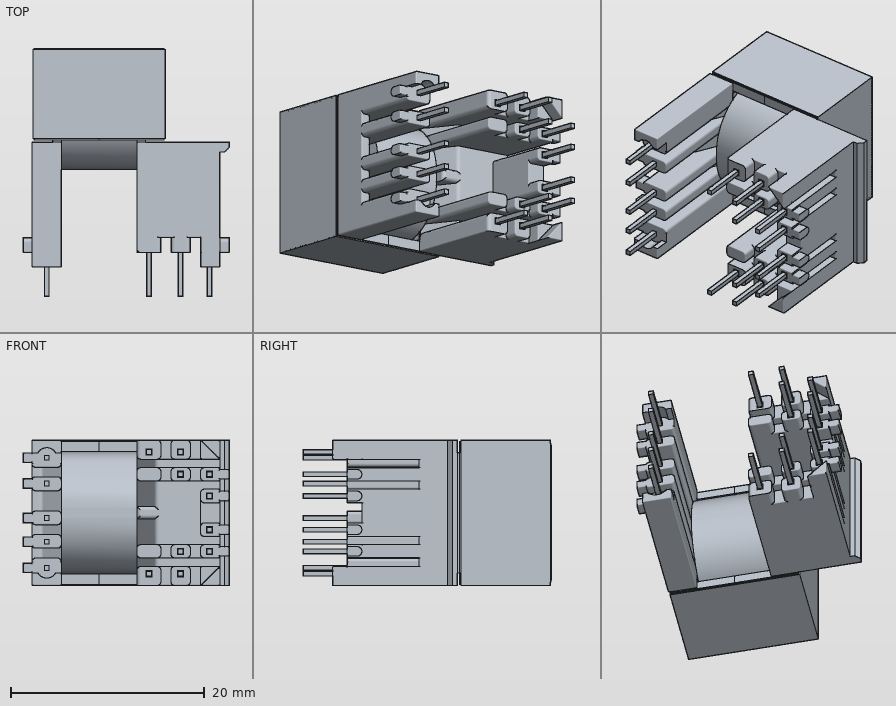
import cadquery as cq
import math


HEIGHT = 15.02
HALF_HEIGHT = HEIGHT / 2
FULL_Z = (-HALF_HEIGHT, HALF_HEIGHT)
TAPE_HALF_WIDTH = 6.85
TAPE = 0.13
CORE_BACK = 6.75
CORE_FRONT = -2.72
TAPE_BACK = 6.65
TAPE_FRONT = -2.57
CORE_HALF_WIDTH = TAPE_HALF_WIDTH - TAPE
CORE_HALF_HEIGHT = HALF_HEIGHT - TAPE
CORE_BACK_ROUND = 0.45

FLAT = 1.05
WINDING_RADIUS = 5.77
CAVITY_RADIUS = 5.8
FLANGE_RADIUS = 5.7
TUBE_RADIUS = 3.0
LEG_RADIUS = 2.2
WINDING_HALF_LENGTH = 3.9
FLANGE_HALF_LENGTH = 4.8
CAVITY_HALF_LENGTH = 4.85

BLOCK_BACK = -2.93
SLOT_FLOOR = -6.92
NOTCH_FLOOR = -12.8
SEAT = -14.33
FOOT = -15.83
PIN_TIP = -18.85
LEFT_OUTER = -6.95
RIGHT_OUTER = 12.47
PEG_LEFT_TIP = -7.85
PEG_RIGHT_TIP = 13.45
BLOCK_INNER = WINDING_HALF_LENGTH
EDGE_ROUND = 0.15
END_ROUND = 0.1
RIB_ROUND = 0.4

RAMP_RUN = 2.0
RAMP_RISE = 3.8
RAMP_ROUND = 0.48

LIP_DEPTH = 1.02
LIP_CHAMFER = 0.5

PIN = 0.5
RECESS = 0.65
RECESS_DEPTH = 0.1
PEG = 1.0
LEFT_PIN_X = -5.4

LEFT_RIBS = [
    (4.69, 6.2, 5.68),
    (2.27, 3.72, 3.02),
    (-1.23, 0.19, -0.54),
    (-3.65, -2.23, -2.98),
    (-6.2, -4.67, -5.68),
]
LEFT_FOOT_Z = 6.2
CLEARANCE_RADIUS = 1.05

OUTER_PLATE = (5.53, HALF_HEIGHT)
INNER_PLATE = (3.28, 4.66)
MIDDLE_SEAT = (1.03, 2.45)
OUTER_PIN_Z = 6.28
INNER_PIN_Z = 3.98
MIDDLE_PIN_Z = 1.74
WEB_HALF = 0.66
SEAT_A = (BLOCK_INNER, 6.38)
SEAT_B = (7.42, 9.42)
SEAT_C = (10.47, RIGHT_OUTER)
PIN_A_X = 5.15
PIN_B_X = 8.4
PIN_C_X = 11.4


def box(x, y, z):
    """Box between two limits along each axis."""
    size = [max(limits) - min(limits) for limits in (x, y, z)]
    corner = [min(limits) for limits in (x, y, z)]
    return cq.Workplane("XY").box(*size, centered=False).translate(tuple(corner))


def stadium(radius, x0, x1):
    """Rounded section along X: half circles of the given radius and a flat between them."""
    profile = cq.Workplane("YZ", origin=(x0, 0, 0)).slot2D(2 * radius + FLAT, 2 * radius, 90)
    return profile.extrude(x1 - x0)


def window(radius, x0, x1, front):
    """Stadium section with straight sides carried forward to the given Y."""
    half = radius + FLAT / 2
    return stadium(radius, x0, x1).union(box((x0, x1), (front, 0), (-half, half)))


def join(first, others):
    """Fuse several overlapping pieces of the same body in one step."""
    fused = first.val().fuse(*[piece.val() for piece in others])
    return cq.Workplane(fused.clean())


def mirror_z(shape):
    return shape.mirror("XY")


def core_block(x0):
    """Core outline from the given X to its +X side, before any shaping."""
    return box((x0, CORE_HALF_WIDTH), (CORE_FRONT, CORE_BACK), (-CORE_HALF_HEIGHT, CORE_HALF_HEIGHT))


def make_core_half(side):
    half = core_block(0).edges(">Y and |X").fillet(CORE_BACK_ROUND)
    half = half.cut(window(CAVITY_RADIUS, 0, CAVITY_HALF_LENGTH, CORE_FRONT))
    half = half.union(stadium(LEG_RADIUS, 0, CAVITY_HALF_LENGTH))
    return half if side > 0 else half.mirror("YZ")


def make_tape():
    sleeve = box((-TAPE_HALF_WIDTH, TAPE_HALF_WIDTH), (TAPE_FRONT, TAPE_BACK), FULL_Z)
    return sleeve.cut(core_block(-CORE_HALF_WIDTH))


def make_winding():
    coil = stadium(WINDING_RADIUS, -WINDING_HALF_LENGTH, WINDING_HALF_LENGTH)
    return coil.cut(stadium(TUBE_RADIUS, -WINDING_HALF_LENGTH, WINDING_HALF_LENGTH))


def spool():
    """Tube with a flange at each end that reaches forward to the blocks."""
    body = stadium(TUBE_RADIUS, -FLANGE_HALF_LENGTH, FLANGE_HALF_LENGTH)
    for x0, x1 in [(-FLANGE_HALF_LENGTH, -WINDING_HALF_LENGTH), (WINDING_HALF_LENGTH, FLANGE_HALF_LENGTH)]:
        flange = window(FLANGE_RADIUS, x0, x1, BLOCK_BACK)
        behind_blocks = box((x0, x1), (BLOCK_BACK, CORE_BACK), FULL_Z)
        body = body.union(flange.intersect(behind_blocks))
    return body.cut(stadium(LEG_RADIUS, -FLANGE_HALF_LENGTH, FLANGE_HALF_LENGTH))


def block_base(outer):
    """Solid root of a block from the core face to the slot floor, ramped at the winding side."""
    side = math.copysign(1, outer)
    inner = side * BLOCK_INNER
    profile = (
        cq.Workplane("XY", origin=(0, 0, -HALF_HEIGHT))
        .moveTo(inner, BLOCK_BACK)
        .lineTo(outer, BLOCK_BACK)
        .lineTo(outer, SLOT_FLOOR)
        .lineTo(inner + side * RAMP_RUN, SLOT_FLOOR)
        .lineTo(inner, SLOT_FLOOR + RAMP_RISE)
        .close()
    )
    base = profile.extrude(HEIGHT)
    ramp_edge = cq.selectors.NearestToPointSelector((inner + side * RAMP_RUN, SLOT_FLOOR, 0))
    outer_edge = cq.selectors.NearestToPointSelector((outer, SLOT_FLOOR, 0))
    return base.edges(ramp_edge).fillet(RAMP_ROUND).edges(outer_edge).fillet(END_ROUND)


def rounded_end(shape):
    """Break the edges around the end face on the pin side."""
    return shape.faces("<Y").edges().fillet(END_ROUND)


def bar(x, y, z, rounded="|Y"):
    """Bar along Y with its selected edges and its pin-side end rounded."""
    return rounded_end(box(x, y, z).edges(rounded).fillet(RIB_ROUND))


def peg(x, z):
    """Wire peg on a block's side: round towards the core, square at the seat."""
    radius = PEG / 2
    profile = (
        cq.Workplane("YZ", origin=(min(x), 0, 0))
        .moveTo(SEAT, z - radius)
        .lineTo(NOTCH_FLOOR - radius, z - radius)
        .threePointArc((NOTCH_FLOOR, z), (NOTCH_FLOOR - radius, z + radius))
        .lineTo(SEAT, z + radius)
        .close()
    )
    return rounded_end(profile.extrude(max(x) - min(x)))


def square_along_y(width, x, y, z):
    half = width / 2
    return box((x - half, x + half), y, (z - half, z + half))


def pin(x, z):
    return square_along_y(PIN, x, (PIN_TIP, SEAT + RECESS_DEPTH), z)


def left_block():
    """Comb of five ribs between two feet, with a peg and a pin on every rib."""
    across = (LEFT_OUTER, -BLOCK_INNER)
    block = block_base(LEFT_OUTER)
    ribs = [bar(across, (SEAT, BLOCK_BACK), (low, high)) for low, high, _ in LEFT_RIBS]
    block = join(block, ribs)
    end_low, _, end_pin_z = LEFT_RIBS[0]
    for side in (1, -1):
        foot = box(across, (FOOT, BLOCK_BACK), (side * LEFT_FOOT_Z, side * HALF_HEIGHT))
        joint_z = (side * (end_low + RIB_ROUND), side * LEFT_FOOT_Z)
        block = block.union(foot).union(box(across, (SEAT, BLOCK_BACK), joint_z))
        relief = cq.Workplane("XZ", origin=(LEFT_PIN_X, SEAT, side * end_pin_z)).circle(CLEARANCE_RADIUS)
        block = block.cut(relief.extrude(SEAT - FOOT))
    envelope = box(across, (FOOT, BLOCK_BACK), FULL_Z)
    block = block.intersect(envelope.edges("<X").fillet(EDGE_ROUND).edges("not(<X)").fillet(END_ROUND))
    pin_heights = [pin_z for _, _, pin_z in LEFT_RIBS]
    pegs = [peg((PEG_LEFT_TIP, LEFT_PIN_X), z) for z in pin_heights]
    pins = [pin(LEFT_PIN_X, z) for z in pin_heights]
    return join(block, pegs + pins)


def right_plates():
    """Upper half of the plates and seats that stand on the right block's base."""
    across = (BLOCK_INNER, RIGHT_OUTER)
    plate_y = (NOTCH_FLOOR, BLOCK_BACK)
    seat_y = (SEAT, BLOCK_BACK)

    plates = bar(across, plate_y, OUTER_PLATE, "|Y and <X and <Z")
    seat_a = box(SEAT_A, seat_y, OUTER_PLATE)
    seat_a = seat_a.edges("(|Y and (>X or <Z)) or (|Z and <X and <Y)").fillet(RIB_ROUND)
    plates = plates.union(seat_a)
    plates = plates.union(bar(SEAT_B, seat_y, OUTER_PLATE))
    plates = plates.union(rounded_end(box(SEAT_C, seat_y, OUTER_PLATE)))
    corner_foot = (
        cq.Workplane("XZ", origin=(0, NOTCH_FLOOR, 0))
        .moveTo(SEAT_C[0], OUTER_PLATE[1])
        .lineTo(SEAT_C[1], OUTER_PLATE[1])
        .lineTo(SEAT_C[1], OUTER_PLATE[0])
        .close()
        .extrude(NOTCH_FLOOR - FOOT)
    )
    plates = plates.union(rounded_end(corner_foot))

    plates = plates.union(bar(across, plate_y, INNER_PLATE, "|Y and <X"))
    plates = plates.union(bar(SEAT_A, seat_y, INNER_PLATE))
    plates = plates.union(bar(SEAT_B, seat_y, INNER_PLATE))
    plates = plates.union(bar(SEAT_C, seat_y, INNER_PLATE, "|Y and <X"))

    plates = plates.union(bar(SEAT_C, seat_y, MIDDLE_SEAT, "|Y and <X"))
    return plates


def lip():
    """Chamfered edge strip on the +X side of the right block."""
    strip = box((RIGHT_OUTER, PEG_RIGHT_TIP), (BLOCK_BACK - LIP_DEPTH, BLOCK_BACK), FULL_Z)
    return strip.edges(">X and <Y").chamfer(LIP_CHAMFER)


def right_block():
    """Block with two plates above, two below and a middle wall, carrying pins and pegs."""
    upper = right_plates()
    block = block_base(RIGHT_OUTER).union(upper).union(mirror_z(upper))
    middle_z = (-MIDDLE_SEAT[1], MIDDLE_SEAT[1])
    block = block.union(bar(SEAT_C, (NOTCH_FLOOR, BLOCK_BACK), middle_z, "|Y and <X"))

    web = box((BLOCK_INNER, SEAT_C[0]), (SLOT_FLOOR, BLOCK_BACK), (-WEB_HALF, WEB_HALF))
    web = web.faces("<Y").edges("|X or <X").fillet(RIB_ROUND)
    block = block.union(web)

    envelope = box((BLOCK_INNER, RIGHT_OUTER), (FOOT, BLOCK_BACK), FULL_Z)
    block = block.intersect(envelope.edges("<X").fillet(END_ROUND)).union(lip())

    upper_pins = [
        (PIN_A_X, OUTER_PIN_Z),
        (PIN_B_X, OUTER_PIN_Z),
        (PIN_B_X, INNER_PIN_Z),
        (PIN_C_X, INNER_PIN_Z),
        (PIN_C_X, MIDDLE_PIN_Z),
    ]
    pin_places = upper_pins + [(x, -z) for x, z in upper_pins]
    pins = [pin(x, z) for x, z in pin_places]
    pegs = [peg((PIN_C_X, PEG_RIGHT_TIP), z) for x, z in pin_places if x == PIN_C_X]
    block = join(block, pegs)
    for x, z in pin_places:
        block = block.cut(square_along_y(RECESS, x, (SEAT, SEAT + RECESS_DEPTH), z))
    return join(block, pins)


def make_bobbin():
    return join(spool(), [left_block(), right_block()])


core_halves = [make_core_half(side) for side in (-1, 1)]
tape = make_tape()
winding = make_winding()
bobbin = make_bobbin()

bodies = [*core_halves, tape, winding, bobbin]
result = cq.Compound.makeCompound([body.solids().val() for body in bodies])